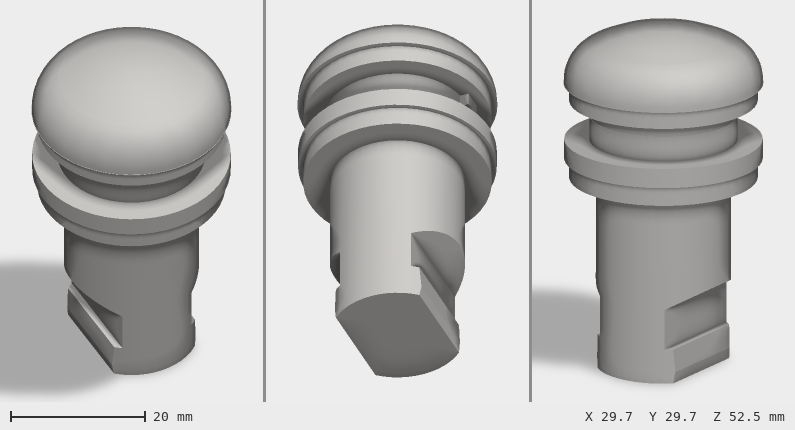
import cadquery as cq
import math

total_height = 52.5

shaft_diameter = 20.1
collar_base_z = 29.0
collar_step_height = 3.0
collar_lower_diameter = 28.0
collar_upper_diameter = 29.5

neck_diameter = 22.0
neck_relief_diameter = 21.8
neck_relief_z = 38.75

cap_base_z = 41.0
cap_base_diameter = 28.0
cap_rim_z = 43.75
dome_diameter = 29.6
cap_lip_diameter = 29.7
cap_lip_height = 0.1
crown_height = 2.5
crown_diameter = 21.8
shoulder_radius = 6.3

key_reach = 12.1
key_width = 3.0
key_height = 2.0

flat_half_gap = 5.75
flat_base_z = 5.25
flat_top_z = 11.5
flat_runout_angle = 30.0
pad_edge_half_gap = 6.75
pad_ridge_half_gap = 7.0
pad_ridge_z = 1.75

collar_step_z = collar_base_z + collar_step_height
collar_top_z = collar_step_z + collar_step_height
crown_base_z = total_height - crown_height
lip_top_z = cap_rim_z + cap_lip_height
crown_radius = crown_diameter / 2
dome_radius = dome_diameter / 2


def disc(diameter, bottom_z, top_z):
    """Cylinder on the part axis between two heights."""
    return cq.Workplane("XY").workplane(offset=bottom_z).circle(diameter / 2).extrude(top_z - bottom_z)


def arc_midpoint(start, end, radius):
    """Middle of the arc from start to end, bulging to the left of that direction."""
    run = end[0] - start[0]
    rise = end[1] - start[1]
    chord = math.hypot(run, rise)
    sagitta = radius - math.sqrt(radius**2 - (chord / 2) ** 2)
    middle_x = (start[0] + end[0]) / 2 - sagitta * rise / chord
    middle_z = (start[1] + end[1]) / 2 + sagitta * run / chord
    return (middle_x, middle_z)


def make_cap_dome():
    """Revolved dome: a round shoulder under a shallow spherical crown."""
    apex = (0, total_height)
    crown_edge = (crown_radius, crown_base_z)
    shoulder_edge = (dome_radius, lip_top_z)
    sphere_radius = (crown_radius**2 + crown_height**2) / (2 * crown_height)
    profile = (
        cq.Workplane("XZ")
        .moveTo(*apex)
        .threePointArc(arc_midpoint(apex, crown_edge, sphere_radius), crown_edge)
        .threePointArc(arc_midpoint(crown_edge, shoulder_edge, shoulder_radius), shoulder_edge)
        .lineTo(0, lip_top_z)
        .close()
    )
    return profile.revolve(360, (0, 0, 0), (0, 1, 0))


def make_key():
    """Small locating key under the cap on the +Y side of the neck."""
    return (
        cq.Workplane("XY")
        .workplane(offset=cap_base_z - key_height)
        .center(0, key_reach / 2)
        .rect(key_width, key_reach)
        .extrude(key_height)
    )


def make_side_cut():
    """Material removed from the -Y side of the shaft foot: ridged pad, flat and sloped run-out."""
    outer = shaft_diameter
    runout_rise = (outer - flat_half_gap) * math.tan(math.radians(flat_runout_angle))
    outline = [
        (-outer, 0),
        (-pad_edge_half_gap, 0),
        (-pad_ridge_half_gap, pad_ridge_z),
        (-pad_edge_half_gap, flat_base_z),
        (-flat_half_gap, flat_base_z),
        (-flat_half_gap, flat_top_z),
        (-outer, flat_top_z + runout_rise),
    ]
    return cq.Workplane("YZ").polyline(outline).close().extrude(shaft_diameter / 2, both=True)


side_cut = make_side_cut()
shaft = disc(shaft_diameter, 0, collar_base_z)
shaft = shaft.cut(side_cut).cut(side_cut.mirror("XZ"))

result = (
    shaft.union(disc(collar_lower_diameter, collar_base_z, collar_step_z))
    .union(disc(collar_upper_diameter, collar_step_z, collar_top_z))
    .union(disc(neck_diameter, collar_top_z, neck_relief_z))
    .union(disc(neck_relief_diameter, neck_relief_z, cap_base_z))
    .union(make_key())
    .union(disc(cap_base_diameter, cap_base_z, cap_rim_z))
    .union(disc(cap_lip_diameter, cap_rim_z, lip_top_z))
    .union(make_cap_dome())
)